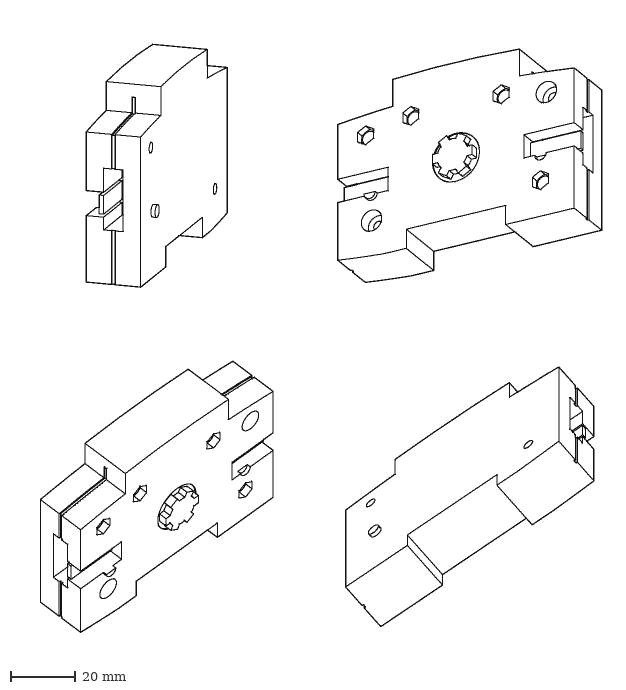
import cadquery as cq
import math

LENGTH = 84.0
THICKNESS = 18.0
HEIGHT = 60.5
HALF_LENGTH = LENGTH / 2
CROWN_HALF_WIDTH = 22.5
TOP_RADIUS = 357.0
SHOULDER_APEX = 51.15
BELLY_APEX = -0.9
RAIL_HALF_WIDTH = 17.6
RAIL_DEPTH = 6.6

SEAM_WIDTH = 1.1
SEAM_DEPTH = 0.5
SEAM_TOP = 55.4
SEAM_START = (THICKNESS - SEAM_WIDTH) / 2

TERMINAL_LENGTH = 17.9
SLOT_BOTTOM = 21.6
SLOT_HEIGHT = 8.1
PLATE_HEIGHT = 6.05
PLATE_THICKNESS = 1.5
POCKET_WIDTH = 6.4
POCKET_HEIGHT = 20.0
POCKET_BOTTOM = 17.5
POCKET_START = (THICKNESS - POCKET_WIDTH) / 2

PEG_OFFSET = 30.0
PEG_RADIUS = 2.0
PEG_LENGTH = 1.35
SOCKET_RADIUS = PEG_RADIUS
SOCKET_DEPTH = PEG_LENGTH

HUB_HEIGHT = 27.5
HUB_PROTRUSION = 2.35
HUB_RECESS_RADIUS = 8.3
HUB_RECESS_DEPTH = 0.5
HUB_LENGTH = HUB_PROTRUSION + HUB_RECESS_DEPTH
HUB_CORE_RADIUS = 5.5
TOOTH_TIP_DISTANCE = 7.05
TOOTH_WIDTH = 3.4
TOOTH_COUNT = 6

UPPER_CORNER = (32.1, 42.6)
LOWER_CORNER = (30.0, 12.5)
INNER_BOLT = (16.05, 45.6)
BOLTS = [
    UPPER_CORNER,
    INNER_BOLT,
    (-INNER_BOLT[0], INNER_BOLT[1]),
    (-LOWER_CORNER[0], LOWER_CORNER[1]),
]
THROUGH_HOLES = [(-UPPER_CORNER[0], UPPER_CORNER[1]), LOWER_CORNER]

HEX_WIDTH = 5.6
HEAD_FLAT_RADIUS = 2.35
HEAD_DEPTH = 2.35
HEAD_CHAMFER_ANGLE = 30.0
HEX_CORNER_RADIUS = HEX_WIDTH / math.sqrt(3)
CHAMFER_DROP = (HEX_CORNER_RADIUS - HEAD_FLAT_RADIUS) * math.tan(math.radians(HEAD_CHAMFER_ANGLE))

HOLE_RADIUS = 1.7
COUNTERBORE_RADIUS = 3.6
COUNTERBORE_DEPTH = 4.5


def sag(y, radius):
    """Drop of a large arc, centred on Y = 0, below its apex."""
    return radius - math.sqrt(radius**2 - y**2)


def plane_at(x):
    """Work plane facing +X, with Y and Z as its local axes."""
    return cq.Workplane("YZ", origin=(x, 0, 0))


def box(x, y, z, size_x, size_y, size_z):
    """Box from its lowest corner."""
    return cq.Workplane("XY").box(size_x, size_y, size_z, centered=False).translate((x, y, z))


def side_profile(x, inset=0.0):
    """Housing outline, with its ends, shoulders and crown sides moved in by the inset."""
    end = HALF_LENGTH - inset
    crown = CROWN_HALF_WIDTH - inset
    shoulder_apex = SHOULDER_APEX - inset
    radius = TOP_RADIUS - inset

    def shoulder(y):
        return (y, shoulder_apex - sag(y, radius))

    def belly(y):
        return (y, BELLY_APEX + sag(y, TOP_RADIUS))

    middle = (end + crown) / 2
    crown_edge = HEIGHT - sag(crown, TOP_RADIUS)
    belly_start = math.sqrt(TOP_RADIUS**2 - (TOP_RADIUS + BELLY_APEX) ** 2)
    return (
        plane_at(x)
        .moveTo(-end, 0)
        .lineTo(*shoulder(-end))
        .threePointArc(shoulder(-middle), shoulder(-crown))
        .lineTo(-crown, crown_edge)
        .threePointArc((0, HEIGHT), (crown, crown_edge))
        .lineTo(*shoulder(crown))
        .threePointArc(shoulder(middle), shoulder(end))
        .lineTo(*belly(end))
        .threePointArc(belly((end + belly_start) / 2), (belly_start, 0))
        .lineTo(RAIL_HALF_WIDTH, 0)
        .lineTo(RAIL_HALF_WIDTH, RAIL_DEPTH)
        .lineTo(-RAIL_HALF_WIDTH, RAIL_DEPTH)
        .lineTo(-RAIL_HALF_WIDTH, 0)
        .close()
    )


def seam_groove():
    """Ring between the housing outline and the inset outline, up to the seam top."""
    slab = box(SEAM_START, -HALF_LENGTH, 0, SEAM_WIDTH, LENGTH, SEAM_TOP)
    core = side_profile(SEAM_START, SEAM_DEPTH).extrude(SEAM_WIDTH)
    return slab.cut(core)


def terminal_opening(y_start):
    """Slot and pocket of one end, leaving the plate between them."""
    slot = box(0, y_start, SLOT_BOTTOM, POCKET_START, TERMINAL_LENGTH, SLOT_HEIGHT)
    pocket = box(POCKET_START, y_start, POCKET_BOTTOM, POCKET_WIDTH, TERMINAL_LENGTH, POCKET_HEIGHT)
    plate_bottom = SLOT_BOTTOM + (SLOT_HEIGHT - PLATE_HEIGHT) / 2
    plate_start = POCKET_START - PLATE_THICKNESS
    plate = box(plate_start, y_start, plate_bottom, PLATE_THICKNESS, TERMINAL_LENGTH, PLATE_HEIGHT)
    return slot.union(pocket).cut(plate)


def cylinder(x, y, z, radius, length):
    """Cylinder running along +X from its starting centre."""
    return plane_at(x).center(y, z).circle(radius).extrude(length)


def half_peg(x, y, radius, length):
    """Lower half of a cylinder whose flat top is level with the slot floor."""
    full = cylinder(x, y, SLOT_BOTTOM, radius, length)
    upper_half = box(x, y - radius, SLOT_BOTTOM, length, 2 * radius, radius)
    return full.cut(upper_half)


def splined_hub():
    """Round core with opposite teeth made as bars across it."""
    hub = cylinder(-HUB_PROTRUSION, 0, HUB_HEIGHT, HUB_CORE_RADIUS, HUB_LENGTH)
    for index in range(TOOTH_COUNT // 2):
        tooth_pair = (
            plane_at(-HUB_PROTRUSION)
            .center(0, HUB_HEIGHT)
            .transformed(rotate=(0, 0, index * 360 / TOOTH_COUNT))
            .rect(2 * TOOTH_TIP_DISTANCE, TOOTH_WIDTH)
            .extrude(HUB_LENGTH)
        )
        hub = hub.union(tooth_pair)
    return hub


def bolt_recess(y, z):
    """Hexagonal recess whose floor is the chamfered top of a bolt head."""
    recess = (
        plane_at(0)
        .center(y, z)
        .transformed(rotate=(0, 0, 90))
        .polygon(6, 2 * HEX_CORNER_RADIUS)
        .extrude(HEAD_DEPTH + CHAMFER_DROP)
    )
    head_top = cq.Workplane(
        cq.Solid.makeCone(
            HEAD_FLAT_RADIUS,
            HEX_CORNER_RADIUS,
            CHAMFER_DROP,
            cq.Vector(HEAD_DEPTH, y, z),
            cq.Vector(1, 0, 0),
        )
    )
    return recess.cut(head_top)


body = side_profile(0).extrude(THICKNESS)
body = body.cut(seam_groove())
for end_start in (-HALF_LENGTH, HALF_LENGTH - TERMINAL_LENGTH):
    body = body.cut(terminal_opening(end_start))

for y, z in BOLTS:
    body = body.cut(bolt_recess(y, z))
for y, z in THROUGH_HOLES:
    body = body.cut(cylinder(0, y, z, HOLE_RADIUS, THICKNESS))
    body = body.cut(cylinder(0, y, z, COUNTERBORE_RADIUS, COUNTERBORE_DEPTH))

body = body.cut(half_peg(0, -PEG_OFFSET, SOCKET_RADIUS, SOCKET_DEPTH))
body = body.union(half_peg(-PEG_LENGTH, PEG_OFFSET, PEG_RADIUS, PEG_LENGTH))
body = body.union(cylinder(THICKNESS, -PEG_OFFSET, SLOT_BOTTOM, PEG_RADIUS, PEG_LENGTH))
body = body.cut(cylinder(0, 0, HUB_HEIGHT, HUB_RECESS_RADIUS, HUB_RECESS_DEPTH))
result = body.union(splined_hub())